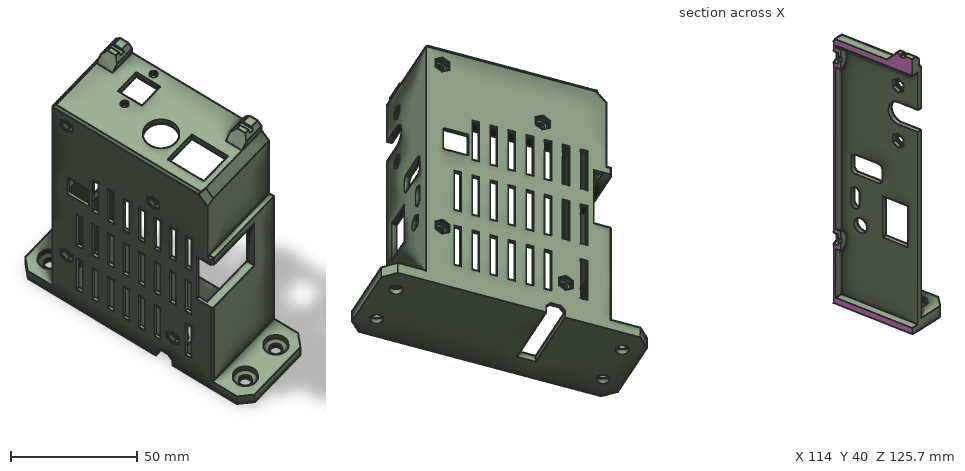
import cadquery as cq
import math

flange_length = 114.0
depth = 40.0
flange_height = 5.0
flange_corner = 5.0
screw_x = 48.5
screw_y = 9.9
screw_diameter = 5.4
counterbore_diameter = 10.0
counterbore_depth = 2.5

total_height = 125.7
housing_top = 120.9
housing_length = 80.0
wall = 1.4
left_wall = 2.3
roof = 3.0
floor = 3.0
jog = 2.4
step_top = 83.5
jog_top = 37.8
roof_corner = 3.8
inner_corner = 1.8

roof_bevel = 1.4
front_bevel = 0.9
side_bevel = 0.3
step_bevel = 1.1
corner_bevel = 1.4
corner_bevel_depth = 3.5

hook_width = 8.0
hook_corner = 2.0
hook_flat_length = 8.0
hook_groove_width = 2.0
hook_groove_depth = 1.0
hook_groove_back = 4.0
notch_left = 11.7
notch_height = 5.4
notch_back = 10.0

vent_columns = 8
vent_first_x = -26.3
vent_last_x = 27.9
vent_width = 3.0
vent_height = 20.0
vent_bottom = 12.0
vent_row_pitch = 28.0
skipped_columns = [{6}, set(), {0}]

nut_flats = 5.5
nut_mouth_flats = 6.3
nut_mouth_depth = 0.5
nut_depth = 2.5
nut_hole_diameter = 3.3
boss_diameter = 9.5
boss_height = 4.0
front_nuts = [(-32.8, 112.5), (10.2, 96.5), (-32.8, 29.7), (20.1, 17.7)]
left_nut_web = 0.2
left_nut_y = 9.9
left_nut_spacing = 25.1

cable_slot_width = 10.0
cable_slot_y = 10.0
cable_slot_z = 95.8

rounded_window = (-5.9, 64.7, 15.7, 8.8)
rounded_window_radius = 2.0
plain_window = (8.5, 45.8, 12.8, 18.9)
switch_slot = (-11.7, 49.4, 4.1, 9.7)
jack_y = -9.0
jack_z = 37.7
jack_diameter = 6.5

front_window = (-27.0, 74.9, 10.9, 10.7)
front_window_radius = 0.8
edge_cutout_left = 32.0
edge_cutout_bottom = 52.0
edge_cutout_size = 27.2

square_window = (-17.3, 7.2, 12.0, 12.0)
large_window = (22.1, -6.3, 18.0, 15.7)
roof_screw_spacing = 18.9
roof_screw_diameter = 3.4
round_opening = (3.3, -5.5)
round_opening_diameter = 14.5

front_y = -depth / 2
back_y = depth / 2
left_x = -housing_length / 2
right_x = housing_length / 2
upper_right_x = right_x - jog
roof_right_x = upper_right_x - roof_corner


def box(x0, x1, y0, y1, z0, z1):
    """Box between two corners."""
    return cq.Workplane("XY").box(x1 - x0, y1 - y0, z1 - z0, centered=False).translate((x0, y0, z0))


def prism_along_y(points, y0, y1):
    """Outline of (x, z) points, swept from y0 to y1."""
    return cq.Workplane("XZ", origin=(0, y0, 0)).polyline(points).close().extrude(y0 - y1)


def prism_along_x(points, x0, x1):
    """Outline of (y, z) points, swept from x0 to x1."""
    return cq.Workplane("YZ", origin=(x0, 0, 0)).polyline(points).close().extrude(x1 - x0)


def prism_along_z(points, z0, z1):
    """Outline of (x, y) points, swept from z0 to z1."""
    return cq.Workplane("XY", origin=(0, 0, z0)).polyline(points).close().extrude(z1 - z0)


def through_left_wall(y, z, width, height):
    """Rectangular opening through the left wall."""
    return box(left_x, left_x + left_wall, y - width / 2, y + width / 2, z - height / 2, z + height / 2)


def through_front_wall(x, z, width, height):
    """Rectangular opening through the front wall."""
    return box(x - width / 2, x + width / 2, front_y, front_y + wall, z - height / 2, z + height / 2)


def through_roof(x, y, length, width):
    """Rectangular opening through the roof."""
    return box(x - length / 2, x + length / 2, y - width / 2, y + width / 2, housing_top - roof, housing_top)


def make_flange():
    """Base plate with cut corners and four counterbored screw holes."""
    flange = cq.Workplane("XY").box(flange_length, depth, flange_height, centered=(True, True, False))
    flange = flange.edges("|Z").chamfer(flange_corner)
    screws = [(sx * screw_x, sy * screw_y) for sx in (-1, 1) for sy in (-1, 1)]
    flange = flange.faces(">Z").workplane(origin=(0, 0, flange_height)).pushPoints(screws)
    return flange.cboreHole(screw_diameter, counterbore_diameter, counterbore_depth)


def make_housing():
    """Solid block of the housing: its right side steps in above the base part."""
    outline = [
        (left_x, 0),
        (right_x, 0),
        (right_x, step_top),
        (upper_right_x, step_top),
        (upper_right_x, housing_top - roof_corner),
        (roof_right_x, housing_top),
        (left_x + roof_bevel, housing_top),
        (left_x, housing_top - roof_bevel),
    ]
    return prism_along_y(outline, front_y, back_y)


def make_cavity():
    """Inside of the housing, whose right wall moves inwards along a slope."""
    outer_right = right_x - wall
    inner_right = upper_right_x - wall
    inner_top = housing_top - roof
    outline = [
        (left_x + left_wall, floor),
        (outer_right, floor),
        (outer_right, jog_top - jog),
        (inner_right, jog_top),
        (inner_right, inner_top - inner_corner),
        (inner_right - inner_corner, inner_top),
        (left_x + left_wall, inner_top),
    ]
    return prism_along_y(outline, front_y + wall, back_y)


def make_bevels():
    """Material taken off the edges around the front face."""
    inset_y = front_y + front_bevel
    roof_edge = [
        (front_y, housing_top - roof_bevel),
        (front_y, housing_top),
        (inset_y, housing_top),
    ]
    step_edge = [
        (front_y, step_top - step_bevel),
        (front_y, step_top),
        (inset_y, step_top),
    ]
    left_edge = [
        (left_x, inset_y),
        (left_x, front_y),
        (left_x + side_bevel, front_y),
    ]
    right_edge = [
        (right_x, inset_y),
        (right_x, front_y),
        (right_x - front_bevel, front_y),
    ]
    corner_edge = [
        (0, 0),
        (-corner_bevel, 0),
        (0, -corner_bevel_depth),
    ]
    corner_plane = cq.Plane(
        origin=(upper_right_x, front_y, housing_top - roof_corner),
        xDir=(1, 0, 1),
        normal=(1, 0, -1),
    )
    corner_length = roof_corner * math.sqrt(2)
    bevels = cq.Workplane(corner_plane).polyline(corner_edge).close().extrude(corner_length, both=True)
    bevels = bevels.union(prism_along_x(roof_edge, left_x, upper_right_x))
    bevels = bevels.union(prism_along_x(step_edge, upper_right_x, right_x))
    bevels = bevels.union(prism_along_z(left_edge, flange_height, housing_top))
    return bevels.union(prism_along_z(right_edge, flange_height, step_top))


def make_hook(x):
    """Hook on the roof whose left side is at x, with a groove across its top."""
    hook_bottom = housing_top - roof
    flat_front = back_y - hook_flat_length
    slope = total_height - hook_bottom
    side = [
        (back_y, hook_bottom),
        (back_y, total_height),
        (flat_front, total_height),
        (flat_front - slope, hook_bottom),
    ]
    hook = prism_along_x(side, x, x + hook_width)
    section = arch_outline(x, hook_bottom, total_height)
    hook = hook.intersect(prism_along_y(section, flat_front - slope, back_y))
    groove_back = back_y - hook_groove_back
    groove = box(
        x,
        x + hook_width,
        groove_back - hook_groove_width,
        groove_back,
        total_height - hook_groove_depth,
        total_height,
    )
    return hook.cut(groove)


def arch_outline(x, bottom, top):
    """Section of a hook: a rectangle with its two upper corners cut off."""
    return [
        (x, bottom),
        (x + hook_width, bottom),
        (x + hook_width, top - hook_corner),
        (x + hook_width - hook_corner, top),
        (x + hook_corner, top),
        (x, top - hook_corner),
    ]


def make_base_notch():
    """Arched opening in the front wall that runs on as a slot through the floor."""
    arch = prism_along_y(arch_outline(notch_left, 0, notch_height), front_y, front_y + wall)
    return arch.union(box(notch_left, notch_left + hook_width, front_y, notch_back, 0, floor))


def hexagon(plane, flats):
    """Hexagon of the given width across its flats, turned so that two corners point up and down."""
    across_corners = flats / math.cos(math.pi / 6)
    return plane.transformed(rotate=(0, 0, 90)).polygon(6, across_corners)


def make_front_nut_trap(x, z):
    """Nut pocket with a flared mouth, and the screw hole behind it."""
    front = cq.Workplane("XZ", origin=(x, front_y, z))
    trap = hexagon(front, nut_flats).extrude(-nut_depth)
    mouth_end = hexagon(front, nut_mouth_flats).workplane(offset=-nut_mouth_depth)
    mouth = mouth_end.polygon(6, nut_flats / math.cos(math.pi / 6)).loft()
    hole = front.circle(nut_hole_diameter / 2).extrude(-boss_height)
    return trap.union(mouth).union(hole)


def make_boss(x, z):
    """Round boss behind the front wall that makes room for a nut trap."""
    boss = cq.Workplane("XZ", origin=(x, front_y + wall, z)).circle(boss_diameter / 2)
    return boss.extrude(wall - boss_height)


def make_left_nut_trap(z):
    """Nut trap entered from inside, with a thin web left at the outer face around the screw hole."""
    left = cq.Workplane("YZ", origin=(left_x, left_nut_y, z))
    pocket = cq.Workplane("YZ", origin=(left_x + left_nut_web, left_nut_y, z))
    trap = hexagon(pocket, nut_flats).extrude(left_wall - left_nut_web)
    return trap.union(left.circle(nut_hole_diameter / 2).extrude(left_wall))


def make_left_openings():
    """Cable slot open to the back, its nut traps, windows, switch slot and jack hole."""
    slot = cq.Workplane("YZ", origin=(left_x, cable_slot_y, cable_slot_z))
    openings = slot.circle(cable_slot_width / 2).extrude(left_wall)
    slot_mouth_y = (cable_slot_y + back_y) / 2
    slot_length = back_y - cable_slot_y
    openings = openings.union(through_left_wall(slot_mouth_y, cable_slot_z, slot_length, cable_slot_width))
    openings = openings.union(through_left_wall(*rounded_window).edges("|X").fillet(rounded_window_radius))
    openings = openings.union(through_left_wall(*plain_window))
    switch_y, switch_z, switch_width, switch_height = switch_slot
    switch = cq.Workplane("YZ", origin=(left_x, switch_y, switch_z))
    openings = openings.union(switch.slot2D(switch_height, switch_width, 90).extrude(left_wall))
    jack = cq.Workplane("YZ", origin=(left_x, jack_y, jack_z))
    openings = openings.union(jack.circle(jack_diameter / 2).extrude(left_wall))
    for side in (-1, 1):
        openings = openings.union(make_left_nut_trap(cable_slot_z + side * left_nut_spacing / 2))
    return openings


def make_vents():
    """Rows of upright slots, leaving out those that would meet another feature."""
    pitch = (vent_last_x - vent_first_x) / (vent_columns - 1)
    vents = cq.Workplane("XY")
    for row, skipped in enumerate(skipped_columns):
        z = vent_bottom + row * vent_row_pitch + vent_height / 2
        for column in range(vent_columns):
            if column not in skipped:
                x = vent_first_x + column * pitch
                vents = vents.add(through_front_wall(x, z, vent_width, vent_height))
    return vents.combine()


def make_front_openings():
    """Rounded window, and a square cutout that takes in the front and right walls."""
    window = through_front_wall(*front_window).edges("|Y").fillet(front_window_radius)
    cutout = box(
        edge_cutout_left,
        right_x,
        front_y,
        front_y + edge_cutout_size,
        edge_cutout_bottom,
        edge_cutout_bottom + edge_cutout_size,
    )
    return window.union(cutout)


def make_roof_openings():
    """Square window with its two screw holes, round opening and large window."""
    openings = through_roof(*square_window).union(through_roof(*large_window))
    roof_plane = cq.Workplane("XY", origin=(0, 0, housing_top - roof))
    circle = roof_plane.center(*round_opening).circle(round_opening_diameter / 2)
    openings = openings.union(circle.extrude(roof))
    centre_x, centre_y = square_window[:2]
    for side in (-1, 1):
        screw = roof_plane.center(centre_x, centre_y + side * roof_screw_spacing / 2)
        openings = openings.union(screw.circle(roof_screw_diameter / 2).extrude(roof))
    return openings


result = make_housing().cut(make_bevels()).union(make_flange())
result = result.cut(make_cavity())
for hook_x in (left_x + roof_bevel, roof_right_x - hook_width):
    result = result.union(make_hook(hook_x))
for nut_x, nut_z in front_nuts:
    result = result.union(make_boss(nut_x, nut_z))
    result = result.cut(make_front_nut_trap(nut_x, nut_z))
result = result.cut(make_base_notch())
result = result.cut(make_left_openings())
result = result.cut(make_vents())
result = result.cut(make_front_openings())
result = result.cut(make_roof_openings())